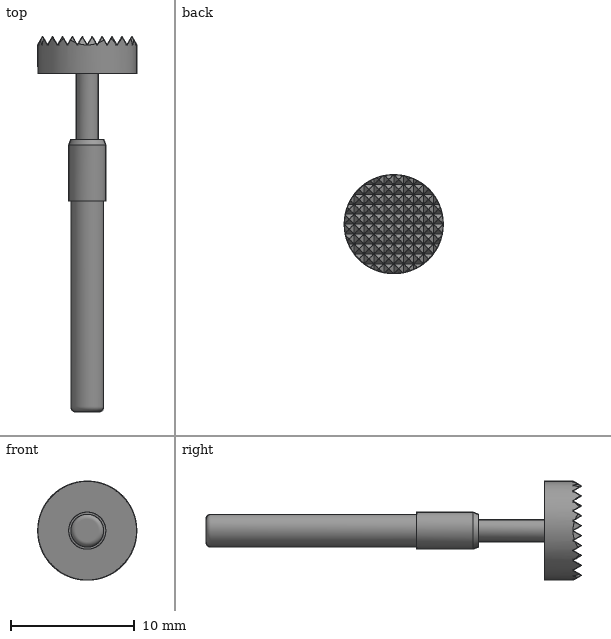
import cadquery as cq
import math

overall_length = 30.3
tail_length = 17.0
collar_length = 5.0
collar_lead_in = 0.45
head_length = 3.0

head_diameter = 8.0
plunger_diameter = 1.8
collar_diameter = 3.0
collar_front_diameter = 2.65
body_diameter = 2.65
tail_fillet = 0.4

teeth_across = 10
groove_angle = 60.0
tooth_pitch = head_diameter / teeth_across
tooth_height = tooth_pitch / 2 / math.tan(math.radians(groove_angle / 2))

tail_end = -tail_length
tip = overall_length - tail_length
head_back = tip - head_length


def cylinder(diameter, start, end):
    """Cylinder on the Y axis between two stations."""
    plane = cq.Plane(origin=(0, start, 0), xDir=(1, 0, 0), normal=(0, 1, 0))
    return cq.Workplane(plane).circle(diameter / 2).extrude(end - start)


def make_body():
    """Straight barrel with a rounded tail end."""
    barrel = cylinder(body_diameter, tail_end, 0)
    return barrel.faces("<Y").edges().fillet(tail_fillet)


def make_collar():
    """Press-fit collar with a long, shallow lead-in at the front."""
    collar = cylinder(collar_diameter, 0, collar_length)
    radial_drop = (collar_diameter - collar_front_diameter) / 2
    edge = collar.faces(">Y").edges()
    return edge.chamfer(collar_lead_in, radial_drop)


def make_grooves():
    """One set of parallel V grooves running along Z across the contact face."""
    root = tip - tooth_height
    half_length = head_diameter
    grooves = cq.Workplane("XY").workplane(offset=-half_length)
    for index in range(teeth_across + 1):
        x = (index - teeth_across / 2) * tooth_pitch
        grooves = grooves.moveTo(x, root)
        grooves = grooves.lineTo(x + tooth_pitch / 2, tip)
        grooves = grooves.lineTo(x - tooth_pitch / 2, tip)
        grooves = grooves.close()
    return grooves.extrude(2 * half_length)


def make_head():
    """Disc head whose front face is serrated in both directions."""
    head = cylinder(head_diameter, head_back, tip)
    grooves = make_grooves()
    crossed_grooves = grooves.rotate((0, 0, 0), (0, 1, 0), 90)
    return head.cut(grooves).cut(crossed_grooves)


plunger = cylinder(plunger_diameter, 0, head_back)
result = make_body().union(make_collar()).union(plunger).union(make_head())